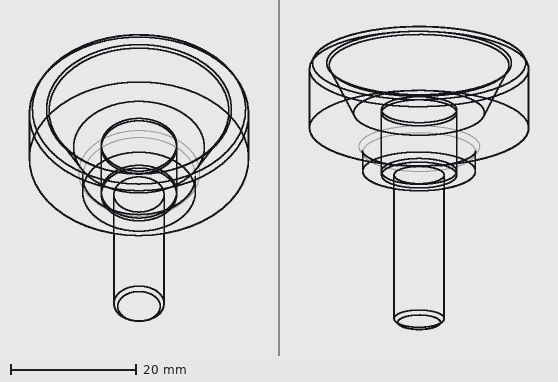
import cadquery as cq

stud_length = 25.0
knob_bottom = 25.6
rim_bottom = 32.95
cup_floor = 35.55
insert_top = 36.1
knob_top = 44.0
hub_top = 29.6

rim_radius = 35.0 / 2
hub_radius = 18.0 / 2
mouth_radius = 14.75
floor_radius = 10.45
insert_radius = 12.0 / 2
stud_radius = 8.0 / 2

rim_chamfer_width = 0.5
rim_chamfer_height = 1.0
mouth_chamfer = 0.4
hub_fillet = 1.0
tip_chamfer = 0.6


def revolve_profile(points):
    """Turn a closed (radius, height) outline around the Z axis."""
    return cq.Workplane("XZ").polyline(points).close().revolve(360, (0, 0), (0, 1))


def knob_blank():
    """Round knob: hub, filleted conical underside and chamfered rim."""
    return revolve_profile([
        (0, knob_bottom),
        (hub_radius, knob_bottom),
        (hub_radius, hub_top),
        (rim_radius, rim_bottom),
        (rim_radius, knob_top - rim_chamfer_height),
        (rim_radius - rim_chamfer_width, knob_top),
        (0, knob_top),
    ]).edges(cq.selectors.RadiusNthSelector(0)).edges(">Z").fillet(hub_fillet)


def cup():
    """Conical recess in the top of the knob, with a chamfered mouth."""
    return revolve_profile([
        (0, cup_floor),
        (floor_radius, cup_floor),
        (mouth_radius - mouth_chamfer, knob_top - mouth_chamfer),
        (mouth_radius, knob_top),
        (0, knob_top),
    ])


def make_stud_insert():
    """Chamfered stud with a wider round head that stands through the knob."""
    stud = cq.Workplane("XY").circle(stud_radius).extrude(stud_length)
    stud = stud.faces("<Z").chamfer(tip_chamfer)
    head = cq.Workplane("XY", origin=(0, 0, stud_length)).circle(insert_radius).extrude(insert_top - stud_length)
    return stud.union(head)


def make_knob():
    """Knob with its cup and a through hole that fits the insert head."""
    hole = cq.Workplane("XY", origin=(0, 0, knob_bottom)).circle(insert_radius).extrude(knob_top - knob_bottom)
    return knob_blank().cut(cup()).cut(hole)


knob = make_knob()
stud_insert = make_stud_insert()

result = cq.Compound.makeCompound([knob.val(), stud_insert.val()])